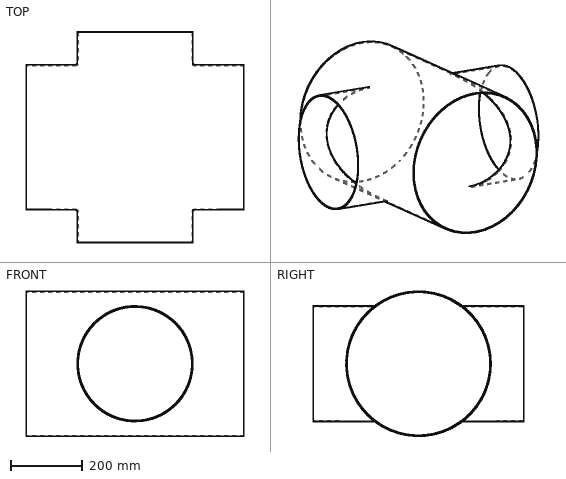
import cadquery as cq

main_length = 610.0
main_outer_diameter = 406.0

branch_span = 590.0
branch_outer_diameter = 324.0

wall = 3.0

outer_junction_radius = 5.0
inner_junction_radius = outer_junction_radius + wall


def centred_cylinder(plane, diameter, length):
    """Solid cylinder along the plane's normal, with its middle at the origin."""
    return cq.Workplane(plane).circle(diameter / 2).extrude(length / 2, both=True)


def crossed_cylinders(main_diameter, branch_diameter):
    """Main and branch cylinders joined into one solid."""
    main = centred_cylinder("YZ", main_diameter, main_length)
    branches = centred_cylinder("XZ", branch_diameter, branch_span)
    return main.union(branches)


def round_junctions(body, radius):
    """Fillet the two junction curves, the only edges that are neither circles nor lines."""
    return body.edges("(not %CIRCLE) and (not %LINE)").fillet(radius)


outer_body = round_junctions(
    crossed_cylinders(main_outer_diameter, branch_outer_diameter),
    outer_junction_radius,
)

bore = round_junctions(
    crossed_cylinders(main_outer_diameter - 2 * wall, branch_outer_diameter - 2 * wall),
    inner_junction_radius,
)

result = outer_body.cut(bore)